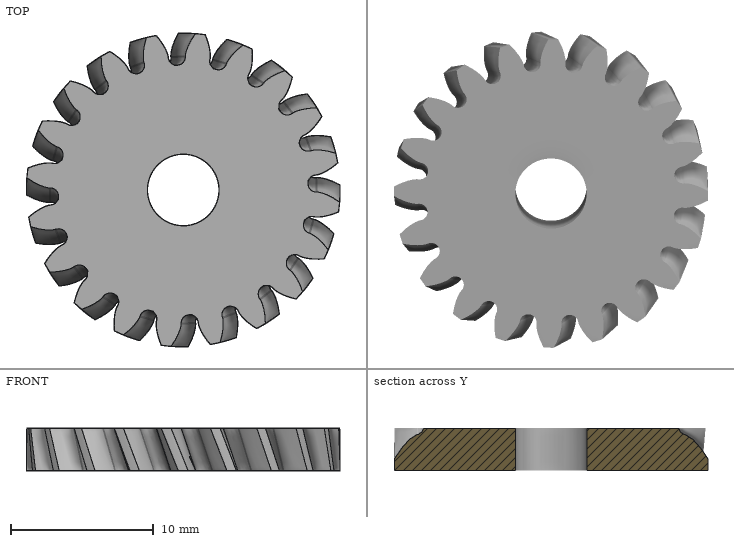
import cadquery as cq
import math


module = 1.0
tooth_count = 20
pressure_angle = math.radians(20)
helix_angle = math.radians(20)
face_width = 3.0
bore_diameter = 5.0
addendum_factor = 1.0
dedendum_factor = 1.25
flank_points = 6

pitch_radius = module * tooth_count / 2
base_radius = pitch_radius * math.cos(pressure_angle)
tip_radius = pitch_radius + addendum_factor * module
root_radius = pitch_radius - dedendum_factor * module

tooth_pitch = 2 * math.pi / tooth_count
twist_angle = face_width * math.tan(helix_angle) / pitch_radius


def involute(angle):
    """Involute function of a pressure angle."""
    return math.tan(angle) - angle


base_half_tooth = tooth_pitch / 4 + involute(pressure_angle)
base_half_gap = tooth_pitch / 2 - base_half_tooth

root_arc_centre_radius = root_radius / (1 - math.sin(base_half_gap))
root_tangent_radius = root_arc_centre_radius * math.cos(base_half_gap)


def polar(radius, angle):
    return (radius * math.cos(angle), radius * math.sin(angle))


def half_tooth_angle(radius):
    """Half the angle covered by a tooth at a radius on its involute flank."""
    return base_half_tooth - involute(math.acos(base_radius / radius))


def flank(tooth_angle, side):
    """Points up one involute flank, base to tip; side is -1 (clockwise) or +1."""
    points = []
    for i in range(flank_points):
        radius = base_radius + (tip_radius - base_radius) * (i / (flank_points - 1)) ** 2
        points.append(polar(radius, tooth_angle + side * half_tooth_angle(radius)))
    return points


def add_tooth(outline, tooth_angle):
    """Add one tooth and the gap after it, going anticlockwise."""
    rising = flank(tooth_angle, -1)
    falling = flank(tooth_angle, 1)[::-1]
    gap_angle = tooth_angle + tooth_pitch / 2
    outline = outline.lineTo(*rising[0])
    outline = outline.spline(rising[1:], includeCurrent=True)
    outline = outline.threePointArc(polar(tip_radius, tooth_angle), falling[0])
    outline = outline.spline(falling[1:], includeCurrent=True)
    outline = outline.lineTo(*polar(root_tangent_radius, gap_angle - base_half_gap))
    return outline.threePointArc(
        polar(root_radius, gap_angle),
        polar(root_tangent_radius, gap_angle + base_half_gap),
    )


def make_gear_blank():
    """Toothed disc; the teeth turn clockwise going up, starting centred on +X."""
    outline = cq.Workplane("XY").moveTo(*polar(root_tangent_radius, -base_half_tooth))
    for i in range(tooth_count):
        outline = add_tooth(outline, i * tooth_pitch)
    return outline.close().twistExtrude(face_width, -math.degrees(twist_angle))


def make_bore():
    return cq.Workplane("XY").circle(bore_diameter / 2).extrude(face_width)


result = make_gear_blank().cut(make_bore())